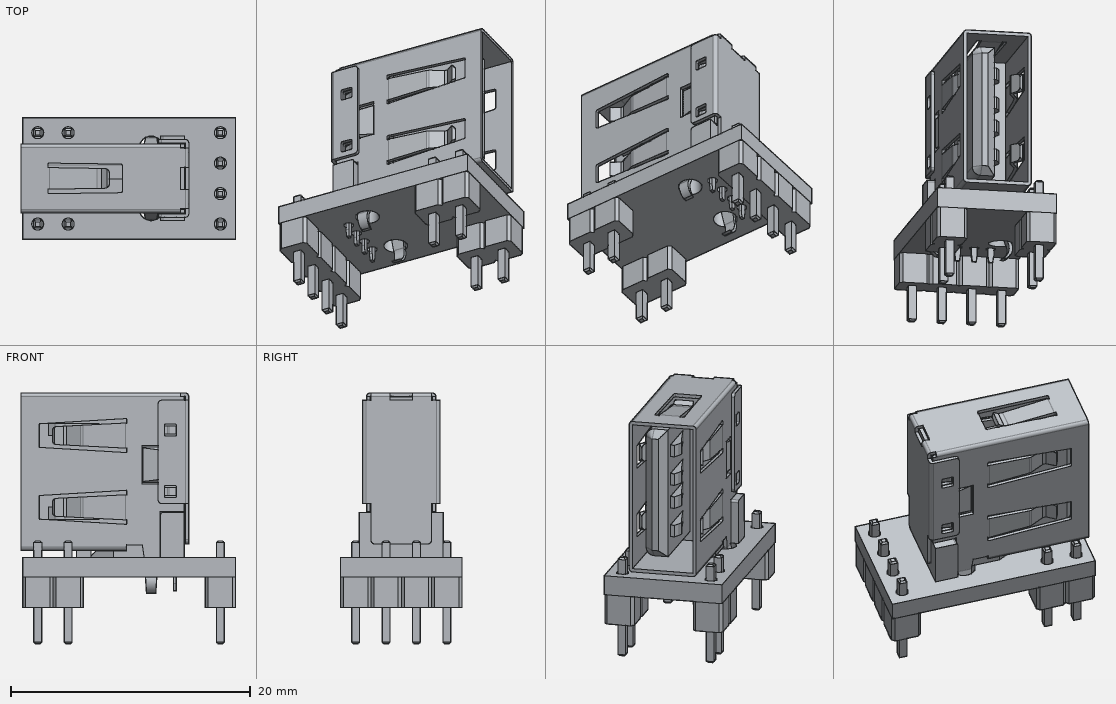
import cadquery as cq


pitch = 2.54
board_length = 7 * pitch
board_width = 4 * pitch
board_thickness = 1.65

header_height = 2.55
header_corner = 0.25
pin_side = 0.67
pin_top = 1.36
pin_bottom = -7.22
pin_point = 0.15
pin_hole_diameter = 1.0

sheet = 0.3
mouth_x = -9.03
wall_end_x = 4.6
floor_end_x = -0.23
shell_half_width = 2.9
shell_bottom = 0.57
shell_top = 13.72
side_skirt_z = 1.03
back_outer_x = 4.98

inner_half_width = shell_half_width - sheet
inner_top = shell_top - sheet
inner_bottom = shell_bottom + sheet
back_inner_x = back_outer_x - sheet

spring_root = 0.15
spring_corner = 0.13
spring_tip_lean = 0.19
side_hinge_x = -0.31
side_spring_heights = (4.17, 10.15)
top_hinge_x = -6.64

flange_front_x = 2.43
flange_bottom = 4.48
flange_top = 13.1
flange_gap = 0.06
flange_inner_y = shell_half_width + flange_gap
flange_outer_y = flange_inner_y + sheet
latch_x = 3.45
latch_heights = (5.49, 10.62)
latch_window = 1.0

lug_x = 1.09
lug_window_length = 1.47
lug_bottom = 6.11
lug_top = 9.34

tab_front_x = -4.4
tab_rear_x = -3.16
tab_half_gap = 0.052

leg_x = 1.85
leg_top = 0
leg_bottom = -3.02
leg_root_x = 1.1
leg_top_width = 1.17
leg_bottom_width = 0.8
leg_hole_diameter = 1.97
leg_hole_y = 2.53

insert_half_width = 2.53
insert_top = 13.38
catch_outer_y = 2.85
wing_front_x = 2.64
wing_outer_y = 3.52
wing_top = 3.75
wing_corner = 0.19
wing_gap = 0.06

tongue_tip_x = -8.15
tongue_low_y = -0.06
tongue_high_y = 1.82
tongue_bottom = 1.63
tongue_top = 12.71
tongue_bevel = 0.67
tongue_corner = 0.7

contact_width = 1.0
contact_offsets = (-3.5, -1.0, 1.0, 3.5)
tail_x = 3.83
tail_places = (-2.11, -0.71, 0.71, 2.11)
tail_thickness = 0.25
tail_bottom = -2.8
tail_hole_diameter = 0.8

front_pin_x = -board_length / 2 + pitch / 2
side_header_xs = [front_pin_x, front_pin_x + pitch]
side_header_y = 1.5 * pitch
rear_pin_x = board_length / 2 - pitch / 2
rear_pin_ys = [(i - 1.5) * pitch for i in range(4)]

rear_header_pins = [(rear_pin_x, y) for y in rear_pin_ys]
left_header_pins = [(x, side_header_y) for x in side_header_xs]
right_header_pins = [(x, -side_header_y) for x in side_header_xs]
header_layouts = [rear_header_pins, left_header_pins, right_header_pins]


def block(x0, x1, y0, y1, z0, z1):
    """Box between opposite corners."""
    return cq.Workplane("XY").box(x1 - x0, y1 - y0, z1 - z0, centered=False).translate((x0, y0, z0))


def both_sides(body):
    """The body together with its mirror image across the XZ plane."""
    return body.union(body.mirror("XZ"))


def make_board():
    board = block(
        -board_length / 2, board_length / 2, -board_width / 2, board_width / 2, -board_thickness, 0
    )

    def drill(places, diameter):
        return (
            cq.Workplane("XY").pushPoints(places).circle(diameter / 2).extrude(-board_thickness)
        )

    for pins in header_layouts:
        board = board.cut(drill(pins, pin_hole_diameter))
    board = board.cut(drill([(tail_x, y) for y in tail_places], tail_hole_diameter))
    return board.cut(drill([(leg_x, leg_hole_y), (leg_x, -leg_hole_y)], leg_hole_diameter))


def make_header(pins):
    """One strip of chamfered cells below the board, with a square pin through each cell."""
    header = None
    for x, y in pins:
        cell = (
            cq.Workplane("XY", origin=(x, y, -board_thickness))
            .rect(pitch, pitch)
            .extrude(-header_height)
            .edges("|Z")
            .chamfer(header_corner)
        )
        pin = (
            cq.Workplane("XY", origin=(x, y, pin_bottom))
            .rect(pin_side, pin_side)
            .extrude(pin_top - pin_bottom)
            .faces("<Z or >Z")
            .chamfer(pin_point)
        )
        cell = cell.union(pin)
        header = cell if header is None else header.union(cell)
    return header


def make_tube():
    """Rectangular sleeve, open at the mouth and at the rear."""
    tube = block(
        mouth_x, wall_end_x, -shell_half_width, shell_half_width, shell_bottom, shell_top
    )
    tube = tube.edges("|X").fillet(sheet)
    cavity = block(
        mouth_x, wall_end_x, -inner_half_width, inner_half_width, inner_bottom, inner_top
    )
    behind_floor = block(
        floor_end_x, wall_end_x, -shell_half_width, shell_half_width, shell_bottom, side_skirt_z
    )
    return tube.cut(cavity).cut(behind_floor)


def add_spring(shell, plane, window_length, window_halves, spring_halves, rises):
    """Cut a tapered window into a wall and hang a bent spring in it.

    In the plane, x runs from the hinge to the tip and z points out of the shell.
    rises lists (distance from hinge, depth of the outer surface); the last one is the tip.
    """
    hinge_half, tip_half = window_halves
    window = (
        cq.Workplane("XY")
        .polyline(
            [
                (-spring_root, -hinge_half),
                (window_length, -tip_half),
                (window_length, tip_half),
                (-spring_root, hinge_half),
            ]
        )
        .close()
        .extrude(-sheet)
        .edges("|Z")
        .fillet(spring_corner)
    )
    root_half, end_half = spring_halves
    tip = rises[-1][0] + spring_tip_lean
    deepest = max(depth for _, depth in rises) + sheet
    outline = (
        cq.Workplane("XY")
        .polyline(
            [(-spring_root, -root_half), (0, -root_half), (tip, -end_half)]
            + [(tip, end_half), (0, root_half), (-spring_root, root_half)]
        )
        .close()
        .extrude(-deepest)
        .edges("|Z and >X")
        .fillet(end_half / 2)
    )
    outer = [(-spring_root, 0), (0, 0)] + [(u, -depth) for u, depth in rises]
    tip_depth = rises[-1][1]
    inner = [(tip, -tip_depth - sheet)] + [(u, w - sheet) for u, w in reversed(outer[:-1])]
    strip = cq.Workplane("XZ").polyline(outer + inner).close().extrude(root_half, both=True)
    spring = strip.intersect(outline)
    place = cq.Location(plane)
    shell = shell.cut(cq.Workplane(window.val().moved(place)))
    return shell.union(cq.Workplane(spring.val().moved(place)))


def add_springs(shell):
    """Two springs in each side wall pointing to the mouth, and one in the roof pointing away from it."""
    side_rises = [(3.54, 0.1), (3.75, 0.15), (4.9, 0.71), (5.17, 0.71), (5.9, 0.13)]
    side_window_length = 7.2
    side_window_halves = (1.42, 0.98)
    side_spring_halves = (1.05, 0.73)
    for side in (-1, 1):
        for height in side_spring_heights:
            hinge = (side_hinge_x, side * shell_half_width, height)
            plane = cq.Plane(hinge, xDir=(-1, 0, 0), normal=(0, side, 0))
            shell = add_spring(
                shell, plane, side_window_length, side_window_halves, side_spring_halves, side_rises
            )
    top_rises = [(3.98, 0.42), (4.35, 0.42), (4.82, 0.13)]
    top_window_length = 6.07
    top_window_halves = (1.28, 1.2)
    top_spring_halves = (0.9, 0.82)
    plane = cq.Plane((top_hinge_x, 0, shell_top), xDir=(1, 0, 0), normal=(0, 0, 1))
    return add_spring(
        shell, plane, top_window_length, top_window_halves, top_spring_halves, top_rises
    )


def make_back_cover():
    """Rear plate folded down from the roof, with a flange folded forward along each side.

    Returns the cover and the relief cuts that its folds need in the shell.
    """
    bend_relief_x = 4.3
    bend_half_width = 2.53
    slot_half_width = 0.92
    cover_bottom = 1.09
    cover_corner = 0.38
    fold = block(
        bend_relief_x, back_outer_x, -bend_half_width, bend_half_width, cover_bottom, shell_top
    )
    fold = fold.edges("|Y and >X and >Z").fillet(sheet)
    fold = fold.edges("|X and <Z").fillet(cover_corner)
    fold = fold.cut(
        block(0, back_inner_x, -bend_half_width, bend_half_width, 0, inner_top)
    )
    wrap = block(
        flange_front_x, back_outer_x, -flange_outer_y, flange_outer_y, flange_bottom, flange_top
    )
    wrap = wrap.edges("|Z and >X").fillet(sheet)
    wrap = wrap.edges("|Y and <X").fillet(sheet)
    wrap = wrap.cut(
        block(0, back_inner_x, -flange_inner_y, flange_inner_y, flange_bottom, flange_top)
    )
    slot = block(
        bend_relief_x, back_outer_x, -slot_half_width, slot_half_width, flange_top, shell_top
    )
    corner_relief = block(
        bend_relief_x, wall_end_x, bend_half_width, shell_half_width, inner_top, shell_top
    )
    return fold.union(wrap).cut(slot), both_sides(corner_relief).union(slot)


def make_leg():
    """Spring leg that continues the +Y side wall and bulges outward through the board."""
    bend_y = 3.37
    bend_z = -1.68
    bulge_y = 3.48
    bulge_z = -2.26
    toe_y = 2.9
    strip = (
        cq.Workplane("YZ")
        .moveTo(shell_half_width, leg_top)
        .lineTo(bend_y, bend_z)
        .threePointArc((bulge_y, bulge_z), (toe_y, leg_bottom))
        .lineTo(toe_y - sheet, leg_bottom)
        .threePointArc((bulge_y - sheet, bulge_z), (bend_y - sheet, bend_z))
        .lineTo(inner_half_width, leg_top)
        .close()
        .extrude(wall_end_x)
    )
    taper = (
        cq.Workplane("XZ")
        .polyline(
            [
                (leg_x - leg_top_width / 2, leg_top),
                (leg_x + leg_top_width / 2, leg_top),
                (leg_x + leg_bottom_width / 2, leg_bottom),
                (leg_x - leg_bottom_width / 2, leg_bottom),
            ]
        )
        .close()
        .extrude(-board_width / 2)
    )
    root = (
        cq.Workplane("XZ", origin=(0, shell_half_width, 0))
        .polyline(
            [
                (leg_root_x, side_skirt_z),
                (wing_front_x - wing_gap, side_skirt_z),
                (wing_front_x - wing_gap, leg_top),
                (leg_x - leg_top_width / 2, leg_top),
            ]
        )
        .close()
        .extrude(sheet)
    )
    return strip.intersect(taper).union(root)


def make_shell():
    shell = add_springs(make_tube())
    cover, relief = make_back_cover()
    shell = shell.cut(relief).union(cover).union(both_sides(make_leg()))
    wing_slot = block(
        wing_front_x - wing_gap, wall_end_x, inner_half_width, shell_half_width, 0, wing_top + wing_gap
    )
    lug_window = block(
        lug_x, lug_x + lug_window_length, inner_half_width, shell_half_width, lug_bottom, lug_top
    )
    cuts = wing_slot.union(lug_window)
    for height in latch_heights:
        cuts = cuts.union(
            cq.Workplane("XZ", origin=(latch_x, 0, height))
            .rect(latch_window, latch_window)
            .extrude(-flange_outer_y)
            .edges("|Y")
            .fillet(spring_corner)
            .cut(block(0, wall_end_x, 0, inner_half_width, 0, shell_top))
        )
    shell = shell.cut(both_sides(cuts))
    tab = block(tab_front_x, tab_rear_x, tab_half_gap, tab_half_gap + sheet, 0, inner_bottom)
    return shell.union(both_sides(tab))


def make_tongue():
    tongue = block(
        tongue_tip_x, floor_end_x, tongue_low_y, tongue_high_y, tongue_bottom, tongue_top
    )
    tongue = tongue.edges("|X and >Y").fillet(tongue_corner)
    return tongue.faces("<X").chamfer(tongue_bevel)


def make_contact(height):
    """Contact strip on the -Y face of the tongue, with a raised nose near the tip."""
    tip_x = -6.72
    tip_y = -0.42
    nose_start = (-6.2, -0.7)
    nose_end = (-5.35, -0.65)
    sunk_x = -2.51
    return (
        cq.Workplane("XY", origin=(0, 0, height - contact_width / 2))
        .moveTo(tip_x, tongue_low_y)
        .lineTo(tip_x, tip_y)
        .lineTo(*nose_start)
        .tangentArcPoint(nose_end, relative=False)
        .lineTo(sunk_x, tongue_low_y)
        .close()
        .extrude(contact_width)
    )


def make_tail(y):
    """Tapered solder tail that passes through the board."""
    half_width = 0.25
    tip_half_width = 0.17
    taper_z = -2.2
    outline = [
        (-half_width, 0),
        (-half_width, taper_z),
        (-tip_half_width, tail_bottom),
        (tip_half_width, tail_bottom),
        (half_width, taper_z),
        (half_width, 0),
    ]
    plane = cq.Workplane("YZ", origin=(tail_x - tail_thickness / 2, y, 0))
    return plane.polyline(outline).close().extrude(tail_thickness)


def make_foot():
    """Base that reaches forward under the shell floor, with a sloped and cornered nose."""
    nose_x = tab_rear_x
    shoulder_x = -1.3
    nose_half = 1.53
    floor_clearance = 0.02
    lip_height = 0.13
    slope_run = 0.42
    foot_top = shell_bottom - floor_clearance
    outline = (
        cq.Workplane("XY")
        .polyline(
            [
                (nose_x, -nose_half),
                (shoulder_x, -insert_half_width),
                (floor_end_x, -insert_half_width),
                (floor_end_x, insert_half_width),
                (shoulder_x, insert_half_width),
                (nose_x, nose_half),
            ]
        )
        .close()
        .extrude(foot_top)
    )
    slope = (
        cq.Workplane("XZ")
        .polyline([(nose_x, lip_height), (nose_x + slope_run, foot_top), (nose_x, foot_top)])
        .close()
        .extrude(insert_half_width, both=True)
    )
    return outline.cut(slope)


def make_side_features():
    """Wing, ramped lug and latch bumps on the +Y side."""
    wing = block(wing_front_x, wall_end_x, insert_half_width, wing_outer_y, 0, wing_top)
    features = wing.edges("|Y and <X and >Z").fillet(wing_corner)
    ramp_start_x = 1.17
    ramp_end_x = 2.51
    ramp_start_y = 2.64
    lug_ramp = (
        cq.Workplane("XY")
        .polyline(
            [
                (ramp_start_x, insert_half_width),
                (ramp_start_x, ramp_start_y),
                (ramp_end_x, catch_outer_y),
                (ramp_end_x, insert_half_width),
            ]
        )
        .close()
        .extrude(lug_top)
    )
    lug_clearance = 0.13
    lug_bevel = 0.25
    low = lug_bottom + lug_clearance
    high = lug_top - lug_clearance
    lug_section = (
        cq.Workplane("YZ")
        .polyline(
            [
                (insert_half_width, low),
                (insert_half_width, high),
                (catch_outer_y, high - lug_bevel),
                (catch_outer_y, low + lug_bevel),
            ]
        )
        .close()
        .extrude(wall_end_x)
    )
    lug = lug_ramp.intersect(lug_section)
    features = features.union(lug)
    bump_half_length = 0.48
    bump_height = 0.67
    bump_crest_end = -0.25
    bump_shoulder = (-0.1, 2.8)
    bump_outline = [
        (-bump_half_length, insert_half_width),
        (-bump_half_length, catch_outer_y),
        (bump_crest_end, catch_outer_y),
        bump_shoulder,
        (bump_half_length, inner_half_width),
        (bump_half_length, insert_half_width),
    ]
    for height in latch_heights:
        bump = (
            cq.Workplane("XY", origin=(latch_x, 0, height - bump_height / 2))
            .polyline(bump_outline)
            .close()
            .extrude(bump_height)
        )
        features = features.union(bump)
    return features


def make_insert():
    insert = block(
        floor_end_x, wall_end_x, -insert_half_width, insert_half_width, 0, insert_top
    )
    insert = insert.union(make_foot()).union(both_sides(make_side_features())).union(make_tongue())
    for offset in contact_offsets:
        insert = insert.union(make_contact((tongue_bottom + tongue_top) / 2 + offset))
    for y in tail_places:
        insert = insert.union(make_tail(y))
    return insert


board = make_board()
shell = make_shell()
insert = make_insert()
headers = [make_header(pins) for pins in header_layouts]

bodies = [board, shell, insert] + headers
result = cq.Compound.makeCompound([body.solids().val() for body in bodies])